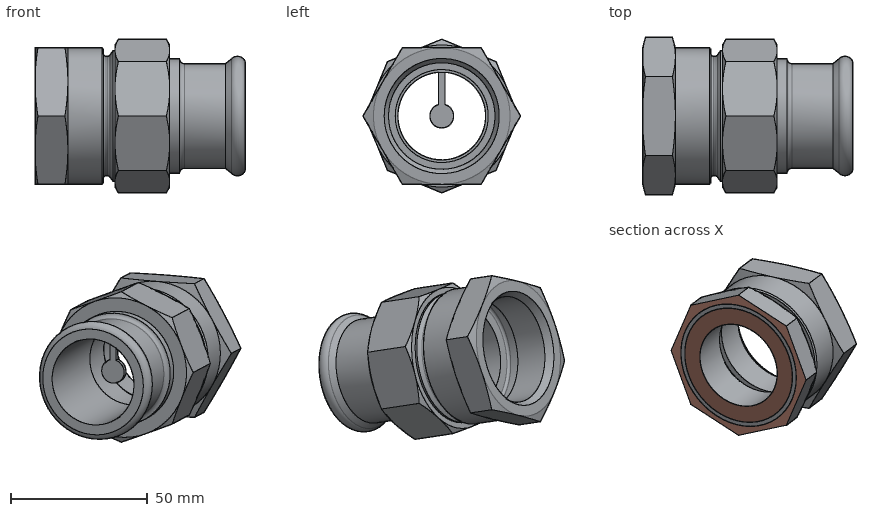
import cadquery as cq
import math

TOTAL_LENGTH = 77.0

HEX_ACROSS_CORNERS = 57.75
HEX_LENGTH = 12.0
HEX_CHAMFER_LENGTH = 1.1
BARREL_RADIUS = HEX_ACROSS_CORNERS / 2 * math.cos(math.pi / 6)
BARREL_END = 25.0
BARREL_CHAMFER = 0.55
GROOVE_RADIUS = 43.8 / 2
GROOVE_FILLET = 1.0
GROOVE_FLAT_LENGTH = 0.55
GROOVE_CONE_ANGLE = math.radians(55)
THREAD_RADIUS = 47.8 / 2
THREAD_START = 28.5
INLET_END = 38.5

MOUTH_RADIUS = 42.1 / 2
MOUTH_LENGTH = 2.9
SOCKET_RADIUS = 39.0 / 2
SOCKET_THREAD_END = 15.5
UNDERCUT_RADIUS = 43.5 / 2
UNDERCUT_END = 21.55
UNDERCUT_FILLET = 1.0
INLET_BORE_RADIUS = 34.0 / 2

NUT_ACROSS_CORNERS = 56.3
NUT_START = 29.25
NUT_END = 49.3
NUT_CHAMFER_LENGTH = 1.2
NUT_LIP_LENGTH = 5.4

COLLAR_END = NUT_END - NUT_LIP_LENGTH
COLLAR_RADIUS = 44.8 / 2
NECK_RADIUS = 42.0 / 2
NECK_END = 52.9
TUBE_RADIUS = 38.4 / 2
TAIL_BORE_RADIUS = 32.0 / 2
BEAD_CONE_START = 69.7
BEAD_START = 71.85
BEAD_START_RADIUS = 20.95
BEAD_CREST = 74.2
BEAD_CREST_RADIUS = 43.8 / 2
BEAD_END_RADIUS = 19.7

DISC_RADIUS = 4.4
ARM_WIDTH = 2.4
DISC_START = 54.7
DISC_THICKNESS = 2.0


def revolve_about_x(profile):
    """Revolve a closed (X, radius) profile about the X axis."""
    return profile.close().revolve(360, (0, 0, 0), (1, 0, 0))


def cylinder(start, end, radius):
    return cq.Workplane("YZ", origin=(start, 0, 0)).circle(radius).extrude(end - start)


def chamfered_prism(sides, across_corners, start, end, chamfer_length):
    """Polygonal prism with a corner on +Y, its corners turned down conically at both ends."""
    corner_radius = across_corners / 2
    flat_radius = corner_radius * math.cos(math.pi / sides)
    prism = cq.Workplane("YZ", origin=(start, 0, 0)).polygon(sides, across_corners).extrude(end - start)
    envelope = revolve_about_x(
        cq.Workplane("XY")
        .moveTo(start, 0)
        .lineTo(start, flat_radius)
        .lineTo(start + chamfer_length, corner_radius)
        .lineTo(end - chamfer_length, corner_radius)
        .lineTo(end, flat_radius)
        .lineTo(end, 0)
    )
    return prism.intersect(envelope)


def inlet_barrel():
    """Barrel, rounded relief groove and threaded end as one turned solid."""
    first_fillet_end = BARREL_END + GROOVE_FILLET
    cone_fillet_start = first_fillet_end + GROOVE_FLAT_LENGTH
    fillet_centre_radius = GROOVE_RADIUS + GROOVE_FILLET

    def groove_point(angle):
        x = cone_fillet_start + GROOVE_FILLET * math.sin(angle)
        return x, fillet_centre_radius - GROOVE_FILLET * math.cos(angle)

    return revolve_about_x(
        cq.Workplane("XY")
        .moveTo(HEX_LENGTH / 2, 0)
        .lineTo(HEX_LENGTH / 2, BARREL_RADIUS)
        .lineTo(BARREL_END - BARREL_CHAMFER, BARREL_RADIUS)
        .lineTo(BARREL_END, BARREL_RADIUS - BARREL_CHAMFER)
        .lineTo(BARREL_END, fillet_centre_radius)
        .radiusArc((first_fillet_end, GROOVE_RADIUS), -GROOVE_FILLET)
        .lineTo(cone_fillet_start, GROOVE_RADIUS)
        .threePointArc(groove_point(GROOVE_CONE_ANGLE / 2), groove_point(GROOVE_CONE_ANGLE))
        .lineTo(THREAD_START, THREAD_RADIUS)
        .lineTo(INLET_END, THREAD_RADIUS)
        .lineTo(INLET_END, 0)
    )


def inlet_bore():
    """Tapered mouth, threaded socket, wider undercut with a rounded corner, and through bore."""
    return revolve_about_x(
        cq.Workplane("XY")
        .moveTo(0, 0)
        .lineTo(0, MOUTH_RADIUS)
        .lineTo(MOUTH_LENGTH, SOCKET_RADIUS)
        .lineTo(SOCKET_THREAD_END, SOCKET_RADIUS)
        .lineTo(SOCKET_THREAD_END, UNDERCUT_RADIUS)
        .lineTo(UNDERCUT_END - UNDERCUT_FILLET, UNDERCUT_RADIUS)
        .radiusArc((UNDERCUT_END, UNDERCUT_RADIUS - UNDERCUT_FILLET), UNDERCUT_FILLET)
        .lineTo(UNDERCUT_END, INLET_BORE_RADIUS)
        .lineTo(INLET_END, INLET_BORE_RADIUS)
        .lineTo(INLET_END, 0)
    )


def make_inlet():
    hexagon = chamfered_prism(6, HEX_ACROSS_CORNERS, 0, HEX_LENGTH, HEX_CHAMFER_LENGTH)
    return hexagon.union(inlet_barrel()).cut(inlet_bore())


def make_nut():
    octagon = chamfered_prism(8, NUT_ACROSS_CORNERS, NUT_START, NUT_END, NUT_CHAMFER_LENGTH)
    thread_bore = cylinder(NUT_START, COLLAR_END, THREAD_RADIUS)
    lip_bore = cylinder(COLLAR_END, NUT_END, NECK_RADIUS)
    return octagon.cut(thread_bore).cut(lip_bore)


def make_tail():
    neck_fillet = NECK_RADIUS - TUBE_RADIUS
    tube = revolve_about_x(
        cq.Workplane("XY")
        .moveTo(INLET_END, TAIL_BORE_RADIUS)
        .lineTo(INLET_END, COLLAR_RADIUS)
        .lineTo(COLLAR_END, COLLAR_RADIUS)
        .lineTo(COLLAR_END, NECK_RADIUS)
        .lineTo(NECK_END, NECK_RADIUS)
        .radiusArc((NECK_END + neck_fillet, TUBE_RADIUS), -neck_fillet)
        .lineTo(BEAD_CONE_START, TUBE_RADIUS)
        .lineTo(BEAD_START, BEAD_START_RADIUS)
        .threePointArc((BEAD_CREST, BEAD_CREST_RADIUS), (TOTAL_LENGTH, BEAD_END_RADIUS))
        .lineTo(TOTAL_LENGTH, TAIL_BORE_RADIUS)
    )
    disc = cylinder(DISC_START, DISC_START + DISC_THICKNESS, DISC_RADIUS)
    arm_length = (TAIL_BORE_RADIUS + TUBE_RADIUS) / 2
    arm = cq.Workplane("XY").box(DISC_THICKNESS, ARM_WIDTH, arm_length, centered=(False, True, False))
    return tube.union(disc).union(arm.translate((DISC_START, 0, 0)))


inlet = make_inlet()
nut = make_nut()
tail = make_tail()

result = cq.Compound.makeCompound([inlet.val(), nut.val(), tail.val()])